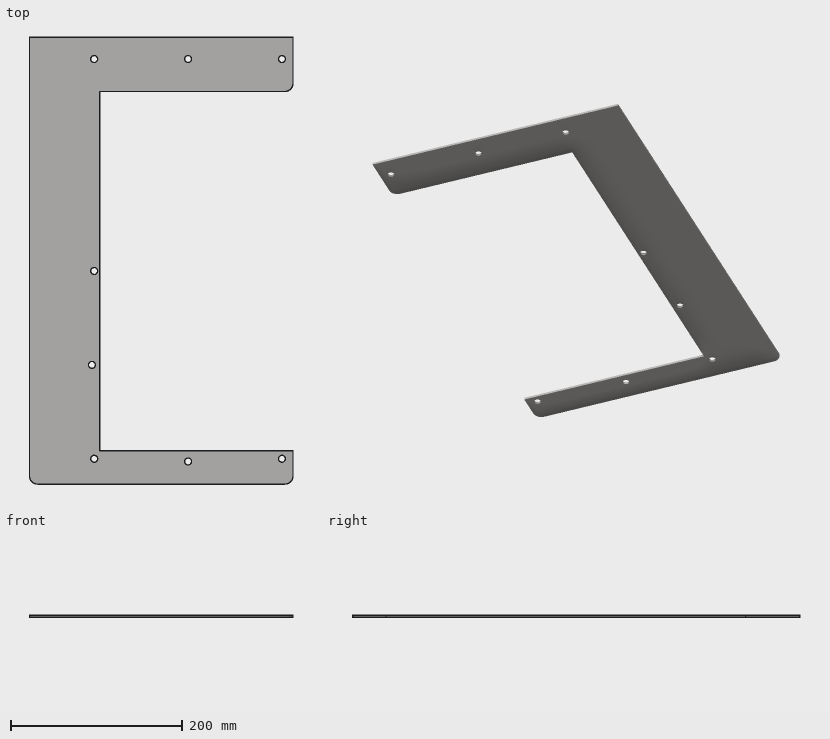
import cadquery as cq

width = 308.0
length = 522.0
thickness = 2.55

spine_width = 82.5
upper_arm_width = 63.5
lower_arm_width = 39.0
corner_radius = 10.0

hole_diameter = 8.0
hole_pitch = 109.5
first_hole_x = 75.5
first_hole_y = 30.0
upper_row_y = 496.5
spine_hole_shift = 2.5
lower_hole_shift = 3.0

middle_hole_x = first_hole_x + hole_pitch
last_hole_x = first_hole_x + 2 * hole_pitch

hole_centers = [
    (first_hole_x, upper_row_y),
    (middle_hole_x, upper_row_y),
    (last_hole_x, upper_row_y),
    (first_hole_x, first_hole_y + 2 * hole_pitch),
    (first_hole_x - spine_hole_shift, first_hole_y + hole_pitch),
    (first_hole_x, first_hole_y),
    (middle_hole_x, first_hole_y - lower_hole_shift),
    (last_hole_x, first_hole_y),
]

rounded_corners = [
    (0, 0),
    (width, 0),
    (width, length - upper_arm_width),
]


def make_plate():
    """Flat C-shaped plate with sharp corners."""
    outline = [
        (0, 0),
        (width, 0),
        (width, lower_arm_width),
        (spine_width, lower_arm_width),
        (spine_width, length - upper_arm_width),
        (width, length - upper_arm_width),
        (width, length),
        (0, length),
    ]
    return cq.Workplane("XY").polyline(outline).close().extrude(thickness)


def round_corner(plate, corner):
    """Round the vertical edge standing at the given corner point."""
    x, y = corner
    edge_middle = cq.selectors.NearestToPointSelector((x, y, thickness / 2))
    return plate.edges("|Z").edges(edge_middle).fillet(corner_radius)


def make_holes():
    """Cylinders that cut the mounting holes through the plate."""
    holes = cq.Workplane("XY").pushPoints(hole_centers)
    return holes.circle(hole_diameter / 2).extrude(thickness)


result = make_plate()
for corner_point in rounded_corners:
    result = round_corner(result, corner_point)
result = result.cut(make_holes())